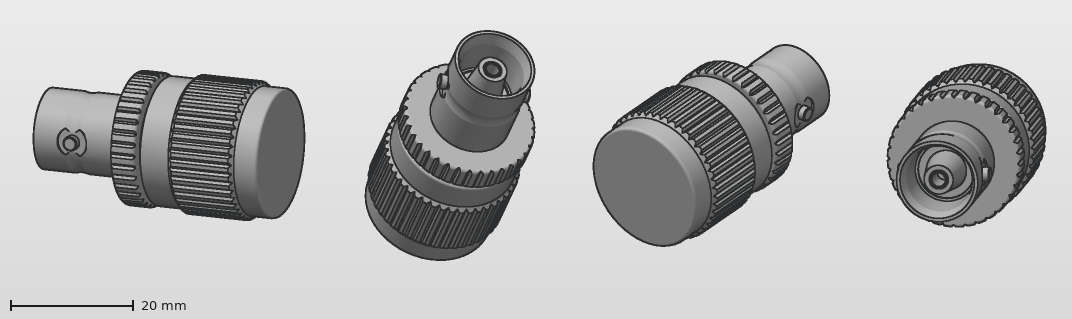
import cadquery as cq
LENGTH = 40.8

BARREL_RADIUS = 6.75
RING_START = 15.17
RING_END = 19.4
RING_RADIUS = 11.05
RING_FILLET = 0.55
NECK_RADIUS = 8.65

GROOVE_CENTRE = 6.75
GROOVE_HALF_WIDTH = 1.3
GROOVE_DEPTH = 0.2

SEAT_RADIUS = 2.55
SEAT_HEIGHT = 6.32
PIN_RADIUS = 1.2
PIN_HEIGHT = 7.6
PIN_CHAMFER = 0.15

MOUTH_RADIUS = 6.15
THROAT_RADIUS = 5.45
THROAT_DEPTH = 2.05
FLOOR_OUTER_RADIUS = 5.1
FLOOR_DEPTH = 8.15
RECESS_RADIUS = 4.65
RECESS_DEPTH = 8.55

TIP_DEPTH = 1.35
TIP_RADIUS = 2.4
BASE_RADIUS = 3.3

CONTACT_BORE_RADIUS = 1.15
CONTACT_BORE_END = 6.53
CONTACT_RADIUS = 1.35
GAP_RADIUS = 1.55
GAP_DEPTH = 0.4

NUT_START = 20.2
NUT_RADIUS = 10.7
NUT_FILLET = 0.5
BAND_START = 25.25
BAND_END = 36.75
BAND_RADIUS = 11.42
BAND_CHAMFER = BAND_RADIUS - NUT_RADIUS

KNURL_DEPTH = 0.45
RING_KNURLS = 36
BAND_KNURLS = 45


def turned(profile):
    """Solid of revolution about the X axis of a closed profile drawn in XY."""
    return profile.close().revolve(360, (0, 0, 0), (1, 0, 0))


def cylinder(start, end, radius):
    """Cylinder along the X axis."""
    return cq.Workplane("YZ", origin=(start, 0, 0)).circle(radius).extrude(end - start)


def knurl_cutter(start, end, radius, count):
    """V-grooves spread evenly around a cylinder, the first one at the top."""
    overshoot = KNURL_DEPTH
    half_width = KNURL_DEPTH + overshoot
    groove = (
        cq.Workplane("YZ", origin=(start, 0, 0))
        .moveTo(0, radius - KNURL_DEPTH)
        .lineTo(half_width, radius + overshoot)
        .lineTo(-half_width, radius + overshoot)
        .close()
        .extrude(end - start)
        .val()
    )
    step = 360 / count
    copies = [groove.rotate((0, 0, 0), (1, 0, 0), i * step) for i in range(count)]
    return cq.Workplane(cq.Compound.makeCompound(copies))


def make_barrel():
    groove_bottom = BARREL_RADIUS - GROOVE_DEPTH
    return turned(
        cq.Workplane("XY")
        .lineTo(0, BARREL_RADIUS)
        .lineTo(GROOVE_CENTRE - GROOVE_HALF_WIDTH, BARREL_RADIUS)
        .threePointArc(
            (GROOVE_CENTRE, groove_bottom),
            (GROOVE_CENTRE + GROOVE_HALF_WIDTH, BARREL_RADIUS),
        )
        .lineTo(RING_START, BARREL_RADIUS)
        .lineTo(RING_START, 0)
    )


def make_grip_ring():
    ring = cylinder(RING_START, RING_END, RING_RADIUS).edges().fillet(RING_FILLET)
    return ring.cut(knurl_cutter(RING_START, RING_END, RING_RADIUS, RING_KNURLS))


def make_seat_cutter(side):
    """Round cutter that leaves a flat seat on the barrel; side is -1 or 1 along Y."""
    seat = cq.Workplane("XZ", origin=(GROOVE_CENTRE, side * SEAT_HEIGHT, 0))
    return seat.circle(SEAT_RADIUS).extrude(-side * (PIN_HEIGHT - SEAT_HEIGHT))


def make_pin(side):
    """Bayonet pin, rooted in the barrel wall; side is -1 or 1 along Y."""
    root = (SEAT_HEIGHT + THROAT_RADIUS) / 2
    pin = cq.Workplane("XZ", origin=(GROOVE_CENTRE, side * root, 0))
    pin = pin.circle(PIN_RADIUS).extrude(-side * (PIN_HEIGHT - root))
    return pin.faces(">Y" if side > 0 else "<Y").chamfer(PIN_CHAMFER)


def make_cavity():
    """Ring-shaped cavity between the barrel wall and the tapered insulator."""
    return turned(
        cq.Workplane("XY")
        .lineTo(0, MOUTH_RADIUS)
        .lineTo(THROAT_DEPTH, THROAT_RADIUS)
        .lineTo(FLOOR_DEPTH, FLOOR_OUTER_RADIUS)
        .lineTo(FLOOR_DEPTH, RECESS_RADIUS)
        .lineTo(RECESS_DEPTH, RECESS_RADIUS)
        .lineTo(RECESS_DEPTH, BASE_RADIUS)
        .lineTo(TIP_DEPTH, TIP_RADIUS)
        .lineTo(TIP_DEPTH, 0)
    )


def make_contact_cutter():
    """Bore of the contact tube, and the gap between the tube and the insulator."""
    bore = cylinder(TIP_DEPTH, CONTACT_BORE_END, CONTACT_BORE_RADIUS)
    gap = cylinder(TIP_DEPTH, TIP_DEPTH + GAP_DEPTH, GAP_RADIUS)
    gap = gap.cut(cylinder(TIP_DEPTH, TIP_DEPTH + GAP_DEPTH, CONTACT_RADIUS))
    return bore.add(gap).combine()


def make_socket():
    socket = make_barrel().union(make_grip_ring())
    socket = socket.union(cylinder(RING_END, NUT_START, NECK_RADIUS))
    socket = socket.cut(make_cavity()).cut(make_contact_cutter())
    for side in (-1, 1):
        socket = socket.cut(make_seat_cutter(side)).union(make_pin(side))
    return socket


def make_coupling_nut():
    nut = cylinder(NUT_START, LENGTH, NUT_RADIUS).edges().fillet(NUT_FILLET)
    band = cylinder(BAND_START, BAND_END, BAND_RADIUS).edges().chamfer(BAND_CHAMFER)
    band = band.cut(knurl_cutter(BAND_START, BAND_END, BAND_RADIUS, BAND_KNURLS))
    return nut.union(band)


socket = make_socket()
coupling_nut = make_coupling_nut()
result = cq.Compound.makeCompound([socket.val(), coupling_nut.val()])